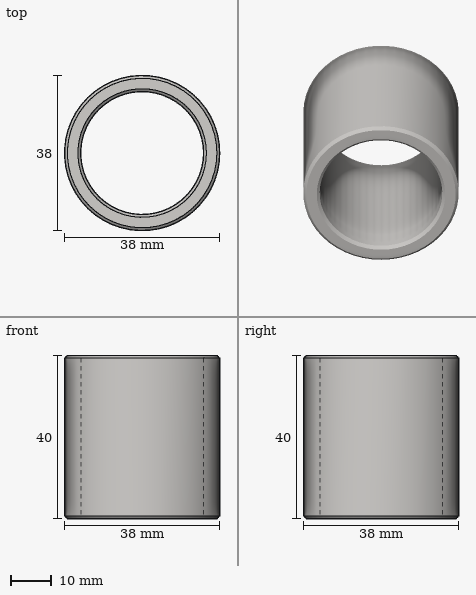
import cadquery as cq

outer_diameter = 38.0
bore_diameter = 30.0
length = 40.0
chamfer = 0.7

sleeve = (
    cq.Workplane("XY")
    .circle(outer_diameter / 2)
    .circle(bore_diameter / 2)
    .extrude(length)
)

result = sleeve.faces("<Z or >Z").edges().chamfer(chamfer)